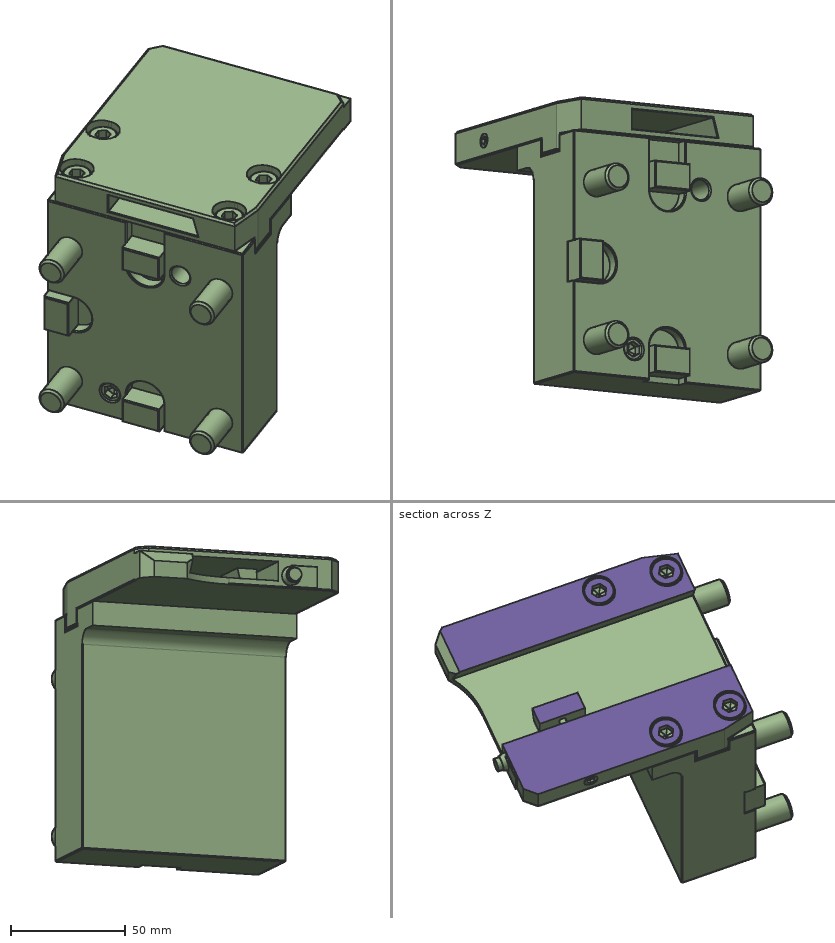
import cadquery as cq
import math


TOTAL_DEPTH = 135.0

WIDTH = 95.0
HALF_WIDTH = WIDTH / 2
BODY_DEPTH = 35.4
BODY_HEIGHT = 108.0
LEDGE_DEPTH = 49.3
LEDGE_BOTTOM = 97.2
LEDGE_FILLET = 6.0
EDGE_CHAMFER = 0.5

SLOT_FRONT = 13.1
SLOT_BACK = 28.5
SLOT_BOTTOM = 100.7
TONGUE_BOTTOM_GAP = 0.5

TOTAL_HEIGHT = 123.0
PLATE_THICKNESS = TOTAL_HEIGHT - BODY_HEIGHT
PLATE_BACK = 108.3
BACK_CORNER = 5.0
FRONT_CORNER_X = 3.9
FRONT_CORNER_Y = 15.3
TOP_CHAMFER = 1.1

LUG_BACK = 115.3
LUG_TOP = 120.2
LUG_ARC_START = 5.3
LUG_ARC_END = 27.3
LUG_CHAMFER = 5.0

CHANNEL_BOTTOM = 111.0
CHANNEL_TOP = 119.6
CHANNEL_LEFT = -17.8
CHANNEL_RIGHT_TOP = 23.1
CHANNEL_RIGHT_BOTTOM = 25.5
CHANNEL_RIM_CHAMFER = 0.4
BLOCK_GAP = 0.4
BLOCK_LEFT = -14.5
BLOCK_RIGHT_TOP = -5.5
BLOCK_RIGHT_BOTTOM = -7.5
BLOCK_LENGTH = 21.6
ROD_Y = 78.3
ROD_Z = 115.0
ROD_DIAMETER = 3.2
BUTTON_DIAMETER = 6.2
BUTTON_SOCKET = 3.2
BUTTON_HEIGHT = 0.1
BUTTON_SOCKET_DEPTH = 1.4

NOZZLE_X = -23.8
NOZZLE_Z = 113.4
NOZZLE_DIAMETER = 6.0
NOZZLE_TIP = 113.5
FLARE_BASE = 8.6
FLARE_TOP = 6.6
FLARE_HEIGHT = 3.0
FOOT_END_X = -35.6
FOOT_HEIGHT = 9.5
FOOT_THICKNESS = 0.8

PATTERN_Z = 50.0
PIN_X = 36.5
PIN_Z = 35.1
PIN_DIAMETER = 12.0
PIN_LENGTH = TOTAL_DEPTH - LUG_BACK
PIN_CHAMFER = 1.1

KEY_WIDTH = 18.0
KEY_LENGTH = 12.0
KEY_PROJECTION = 4.7
POCKET_DEPTH = 5.5
SIDE_POCKET_X = -35.0

THREAD_X = 17.0
THREAD_Z = 37.0
THREAD_DIAMETER = 8.9
THREAD_RIM_CHAMFER = 0.7
THREAD_DEPTH = 20.2
TIP_HALF_ANGLE = 59.0
SET_SCREW_SOCKET = 6.0
SET_SCREW_SOCKET_DEPTH = 4.0

SOCKET_TIP_SLOPE = 20.0
SOCKET_TIP_FILL = 0.95

SCREW_POSITIONS = [(-39.0, 39.3), (39.0, 39.3), (-37.0, 8.2), (37.0, 8.2)]
RECESS_WIDTH = 13.5
RECESS_LENGTH = 15.0
RECESS_DEPTH = 5.4
HEAD_DIAMETER = 13.0
HEAD_DROP = 2.5
HEAD_CHAMFER = 0.7
SCREW_SOCKET = 6.0
SCREW_SOCKET_DEPTH = 4.0


def box(x0, x1, y0, y1, z0, z1):
    """Box given by its limits on each axis."""
    return cq.Workplane("XY").box(x1 - x0, y1 - y0, z1 - z0, centered=False).translate((x0, y0, z0))


def front_plane(x, z, y=0.0):
    """Plane facing the front (-Y), centred at the given point."""
    return cq.Workplane("XZ", origin=(x, y, z))


def hexagon_socket(plane, across_flats, depth):
    """Hexagonal socket sunk below the plane, with a corner along the plane's second axis."""
    across_corners = across_flats / math.cos(math.pi / 6)
    return plane.transformed(rotate=(0, 0, 90)).polygon(6, across_corners).extrude(-depth)


def pointed_socket(plane, across_flats, depth):
    """Hexagonal socket whose bottom ends in a shallow six-sided point."""
    tip_height = SOCKET_TIP_FILL * across_flats / 2 * math.tan(math.radians(SOCKET_TIP_SLOPE))
    tip = (
        plane.workplane(offset=-depth)
        .transformed(rotate=(0, 0, 90))
        .polygon(6, across_flats / math.cos(math.pi / 6))
        .extrude(-tip_height, taper=90 - SOCKET_TIP_SLOPE)
    )
    return hexagon_socket(plane, across_flats, depth).union(tip)


def make_body():
    """Upright with a filleted ledge at its upper back and a bevelled cross slot in its top."""
    upright = box(-HALF_WIDTH, HALF_WIDTH, 0, BODY_DEPTH, 0, BODY_HEIGHT)
    upright = upright.edges().chamfer(EDGE_CHAMFER)
    root_y = BODY_DEPTH / 2
    ledge = box(-HALF_WIDTH, HALF_WIDTH, root_y, LEDGE_DEPTH, LEDGE_BOTTOM, BODY_HEIGHT)
    gusset = (
        cq.Workplane("YZ", origin=(-HALF_WIDTH, 0, 0))
        .moveTo(BODY_DEPTH + LEDGE_FILLET, LEDGE_BOTTOM)
        .radiusArc((BODY_DEPTH, LEDGE_BOTTOM - LEDGE_FILLET), -LEDGE_FILLET)
        .lineTo(root_y, LEDGE_BOTTOM - LEDGE_FILLET)
        .lineTo(root_y, LEDGE_BOTTOM)
        .close()
        .extrude(WIDTH)
    )
    body = upright.union(ledge).union(gusset)

    slot = box(-HALF_WIDTH, HALF_WIDTH, SLOT_FRONT, SLOT_BACK, SLOT_BOTTOM, BODY_HEIGHT)
    body = body.cut(slot)
    for side in (-1, 1):
        rim = (
            cq.Workplane("YZ", origin=(side * HALF_WIDTH, 0, 0))
            .center((SLOT_FRONT + SLOT_BACK) / 2, BODY_HEIGHT)
            .rect(SLOT_BACK - SLOT_FRONT + 2 * EDGE_CHAMFER, 2 * (BODY_HEIGHT - SLOT_BOTTOM + EDGE_CHAMFER))
            .extrude(-side * EDGE_CHAMFER, taper=45)
        )
        body = body.cut(rim)
    return body


def make_plate():
    """Plate with cut corners, the tongue under it and the lug behind it."""
    outline = [
        (-HALF_WIDTH + FRONT_CORNER_X, 0),
        (HALF_WIDTH - FRONT_CORNER_X, 0),
        (HALF_WIDTH, FRONT_CORNER_Y),
        (HALF_WIDTH, PLATE_BACK - BACK_CORNER),
        (HALF_WIDTH - BACK_CORNER, PLATE_BACK),
        (-HALF_WIDTH + BACK_CORNER, PLATE_BACK),
        (-HALF_WIDTH, PLATE_BACK - BACK_CORNER),
        (-HALF_WIDTH, FRONT_CORNER_Y),
    ]
    plan = cq.Workplane("XY", origin=(0, 0, BODY_HEIGHT)).polyline(outline).close()
    plate = plan.extrude(PLATE_THICKNESS)
    plate = plate.faces(">Z").edges().chamfer(TOP_CHAMFER)
    plate = plate.faces("<Z").edges().chamfer(EDGE_CHAMFER)

    tongue_bottom = SLOT_BOTTOM + TONGUE_BOTTOM_GAP
    tongue_top = BODY_HEIGHT + 2 * EDGE_CHAMFER
    tongue = box(-HALF_WIDTH, HALF_WIDTH, SLOT_FRONT, SLOT_BACK, tongue_bottom, tongue_top)
    tongue = tongue.edges().chamfer(EDGE_CHAMFER)
    tall_plan = cq.Workplane("XY", origin=(0, 0, tongue_bottom)).polyline(outline).close()
    tongue = tongue.intersect(tall_plan.extrude(PLATE_THICKNESS))
    return plate.union(tongue).union(make_lug())


def make_lug():
    """Lug behind the plate: a concave run-up, a flat back and a bevelled upper back edge."""
    rise = LUG_BACK - PLATE_BACK
    run = LUG_ARC_END - LUG_ARC_START
    arc_radius = (run**2 + rise**2) / (2 * rise)
    root_y = PLATE_BACK - BACK_CORNER
    lug = (
        cq.Workplane("XY", origin=(0, 0, BODY_HEIGHT))
        .moveTo(LUG_ARC_START, root_y)
        .lineTo(LUG_ARC_START, PLATE_BACK)
        .radiusArc((LUG_ARC_END, LUG_BACK), -arc_radius)
        .lineTo(HALF_WIDTH - LUG_CHAMFER, LUG_BACK)
        .lineTo(HALF_WIDTH, LUG_BACK - LUG_CHAMFER)
        .lineTo(HALF_WIDTH, root_y)
        .close()
        .extrude(LUG_TOP - BODY_HEIGHT)
    )
    bevel = (
        cq.Workplane("YZ")
        .polyline([(LUG_BACK, LUG_TOP), (LUG_BACK - LUG_CHAMFER, LUG_TOP), (LUG_BACK, LUG_TOP - LUG_CHAMFER)])
        .close()
        .extrude(HALF_WIDTH)
    )
    return lug.cut(bevel)


def make_channel():
    """Cut through plate and lug: upright left wall, slanted right wall, bevelled front rim."""
    outline = [
        (CHANNEL_LEFT, CHANNEL_BOTTOM),
        (CHANNEL_RIGHT_BOTTOM, CHANNEL_BOTTOM),
        (CHANNEL_RIGHT_TOP, CHANNEL_TOP),
        (CHANNEL_LEFT, CHANNEL_TOP),
    ]
    channel = cq.Workplane("XZ").polyline(outline).close().extrude(-LUG_BACK)
    rim = cq.Workplane("XZ").polyline(outline).close()
    rim = rim.offset2D(CHANNEL_RIM_CHAMFER, "intersection").extrude(-CHANNEL_RIM_CHAMFER, taper=45)
    above_lug = box(LUG_ARC_START, CHANNEL_RIGHT_TOP, PLATE_BACK, LUG_BACK, CHANNEL_TOP, LUG_TOP)
    return channel.union(rim).union(above_lug)


def make_clamp():
    """Clamping block in the channel with the rod that joins it to the button on the side face."""
    block_bottom = CHANNEL_BOTTOM + BLOCK_GAP
    block_top = CHANNEL_TOP - BLOCK_GAP
    block = (
        front_plane(0, 0, ROD_Y - BLOCK_LENGTH / 2)
        .polyline([
            (BLOCK_LEFT, block_bottom),
            (BLOCK_RIGHT_BOTTOM, block_bottom),
            (BLOCK_RIGHT_TOP, block_top),
            (BLOCK_LEFT, block_top),
        ])
        .close()
        .extrude(-BLOCK_LENGTH)
    )
    side_plane = cq.Workplane(
        cq.Plane(origin=(-HALF_WIDTH - BUTTON_HEIGHT, ROD_Y, ROD_Z), xDir=(0, -1, 0), normal=(-1, 0, 0))
    )
    rod = side_plane.circle(ROD_DIAMETER / 2).extrude(-(HALF_WIDTH + BUTTON_HEIGHT + BLOCK_LEFT))
    button = side_plane.circle(BUTTON_DIAMETER / 2).extrude(-2 * BUTTON_HEIGHT)
    socket = hexagon_socket(side_plane, BUTTON_SOCKET, BUTTON_SOCKET_DEPTH)
    return block.union(rod).union(button), socket


def make_nozzle():
    """Flared nozzle and the thin foot beside it on the back of the plate."""
    back = cq.Workplane("XZ", origin=(NOZZLE_X, PLATE_BACK, NOZZLE_Z))
    nozzle = back.circle(NOZZLE_DIAMETER / 2).extrude(PLATE_BACK - NOZZLE_TIP)
    flare = (
        back.circle(FLARE_BASE / 2)
        .workplane(offset=-FLARE_HEIGHT)
        .circle(FLARE_TOP / 2)
        .loft()
    )
    foot = box(
        FOOT_END_X, NOZZLE_X,
        PLATE_BACK, PLATE_BACK + FOOT_THICKNESS,
        NOZZLE_Z - FOOT_HEIGHT / 2, NOZZLE_Z + FOOT_HEIGHT / 2,
    )
    return nozzle.union(flare).union(foot)


def make_pins():
    pins = front_plane(0, PATTERN_Z).rect(2 * PIN_X, 2 * PIN_Z, forConstruction=True).vertices()
    pins = pins.circle(PIN_DIAMETER / 2).extrude(PIN_LENGTH)
    return pins.faces("<Y").edges().chamfer(PIN_CHAMFER)


def pocket_profile(plane, length, width):
    """Round-ended outline: half circle at the origin, open end at -length along the first axis."""
    return (
        plane.moveTo(-length, -width / 2)
        .lineTo(0, -width / 2)
        .threePointArc((width / 2, 0), (0, width / 2))
        .lineTo(-length, width / 2)
        .close()
    )


def make_key(x, z, angle, edge_distance):
    """Pocket and key; the pocket runs from its round end at (x, z) out through the body edge."""
    length = edge_distance + 2 * EDGE_CHAMFER
    plane = front_plane(x, z).transformed(rotate=(0, 0, angle))
    pocket = pocket_profile(plane, length, KEY_WIDTH).extrude(-POCKET_DEPTH)
    rim = pocket_profile(plane, length, KEY_WIDTH + 2 * EDGE_CHAMFER).extrude(-EDGE_CHAMFER, taper=45)
    key = (
        plane.workplane(offset=-POCKET_DEPTH)
        .center(-KEY_LENGTH / 2, 0)
        .rect(KEY_LENGTH, KEY_WIDTH)
        .extrude(POCKET_DEPTH + KEY_PROJECTION)
    )
    key = key.faces("<Y").edges().chamfer(EDGE_CHAMFER)
    return pocket.union(rim), key


def make_thread_hole():
    radius = THREAD_DIAMETER / 2
    tip_depth = radius / math.tan(math.radians(TIP_HALF_ANGLE))
    hole = (
        cq.Workplane("XY")
        .polyline([
            (0, 0),
            (radius + THREAD_RIM_CHAMFER, 0),
            (radius, THREAD_RIM_CHAMFER),
            (radius, THREAD_DEPTH),
            (0, THREAD_DEPTH + tip_depth),
        ])
        .close()
        .revolve(360, (0, 0, 0), (0, 1, 0))
    )
    return hole.translate((THREAD_X, 0, PATTERN_Z + THREAD_Z))


def make_set_screw_recess():
    plane = front_plane(-THREAD_X, PATTERN_Z - THREAD_Z)
    rim_radius = THREAD_DIAMETER / 2 + THREAD_RIM_CHAMFER
    rim = plane.circle(rim_radius).extrude(-THREAD_RIM_CHAMFER, taper=45)
    return rim.union(pointed_socket(plane, SET_SCREW_SOCKET, SET_SCREW_SOCKET_DEPTH))


def add_cap_screws(part):
    """Cut the recesses in the plate and seat a socket-head screw in each."""
    for x, y in SCREW_POSITIONS:
        top = cq.Workplane("XY", origin=(x, y, TOTAL_HEIGHT))
        recess = top.slot2D(RECESS_LENGTH, RECESS_WIDTH).extrude(-RECESS_DEPTH)
        head_plane = top.workplane(offset=-HEAD_DROP)
        head = head_plane.circle(HEAD_DIAMETER / 2).extrude(HEAD_DROP - RECESS_DEPTH)
        head = head.faces(">Z").edges().chamfer(HEAD_CHAMFER)
        socket = pointed_socket(head_plane, SCREW_SOCKET, SCREW_SOCKET_DEPTH)
        part = part.cut(recess).union(head).cut(socket)
    return part


body = make_body()
key_pockets = [
    make_key(0, PATTERN_Z + PIN_Z, -90, BODY_HEIGHT - PATTERN_Z - PIN_Z),
    make_key(0, PATTERN_Z - PIN_Z, 90, PATTERN_Z - PIN_Z),
    make_key(SIDE_POCKET_X, PATTERN_Z, 0, HALF_WIDTH + SIDE_POCKET_X),
]
for pocket, key in key_pockets:
    body = body.cut(pocket).union(key)
body = body.cut(make_thread_hole()).cut(make_set_screw_recess()).union(make_pins())

clamp, button_socket = make_clamp()
plate = make_plate().cut(make_channel()).union(clamp).cut(button_socket).union(make_nozzle())

result = add_cap_screws(body.union(plate))